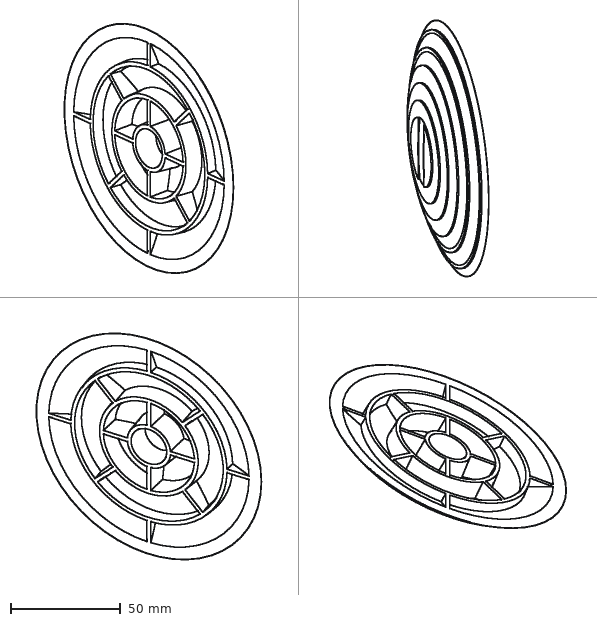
import cadquery as cq
import math


channel_width = 8.3
channel_depth = 0.2

rim_radius = 59.0
overall_height = 14.8
shell_thickness = 3.0
crest_radius = channel_width / 2
sphere_center_y = (overall_height**2 + crest_radius**2 - rim_radius**2) / (2 * overall_height)
outer_sphere_radius = math.hypot(rim_radius, sphere_center_y)
inner_sphere_radius = outer_sphere_radius - shell_thickness
apex_height = outer_sphere_radius + sphere_center_y
cavity_rim_radius = math.sqrt(inner_sphere_radius**2 - sphere_center_y**2)

ridge_count = 6
ridge_outermost_radius = 55.0
ridge_pitch = 7.8
ridge_height = 0.77
innermost_ridge_radius = ridge_outermost_radius - (ridge_count - 1) * ridge_pitch

wall_thickness = 2.0
wall_draft = 4.2
hub_radius = 11.3
middle_ring_radius = 25.8
outer_ring_radius = 41.0
ribs_per_band = 4
rib_spacing = 360 / ribs_per_band


def sphere_y(sphere_radius, radius):
    """Height of a shell sphere above the rim plane at a distance from the axis."""
    return math.sqrt(sphere_radius**2 - radius**2) + sphere_center_y


def sphere_distance(sphere_radius, y):
    """Distance from the axis at which a shell sphere reaches a height."""
    return math.sqrt(sphere_radius**2 - (y - sphere_center_y) ** 2)


def add_sphere_arc(profile, sphere_radius, start_radius, end_radius):
    """Continue a half profile along a shell sphere."""
    mid_radius = (start_radius + end_radius) / 2
    middle = (mid_radius, sphere_y(sphere_radius, mid_radius))
    end = (end_radius, sphere_y(sphere_radius, end_radius))
    return profile.threePointArc(middle, end)


def revolve_about_y(profile):
    """Turn a closed half profile into a solid around the part axis."""
    return profile.revolve(360, (0, 0, 0), (0, 1, 0))


def make_shell():
    """Spherical shell with flat-topped ridges stepping up its back."""
    profile = cq.Workplane("XY").moveTo(cavity_rim_radius, 0).lineTo(rim_radius, 0)
    arc_start = rim_radius
    for index in range(ridge_count):
        ridge_radius = ridge_outermost_radius - index * ridge_pitch
        ridge_top = sphere_y(outer_sphere_radius, ridge_radius) + ridge_height
        ridge_inner_radius = sphere_distance(outer_sphere_radius, ridge_top)
        profile = add_sphere_arc(profile, outer_sphere_radius, arc_start, ridge_radius)
        profile = profile.lineTo(ridge_radius, ridge_top).lineTo(ridge_inner_radius, ridge_top)
        arc_start = ridge_inner_radius
    profile = add_sphere_arc(profile, outer_sphere_radius, arc_start, 0)
    profile = profile.lineTo(0, apex_height - shell_thickness)
    profile = add_sphere_arc(profile, inner_sphere_radius, 0, cavity_rim_radius)
    return revolve_about_y(profile.close())


def wall_section(wall_center):
    """Trapezoid across a wall, widening from the rim plane to the apex height."""
    tip = wall_thickness / 2
    root = tip + apex_height * math.tan(math.radians(wall_draft))
    return (
        cq.Workplane("XY")
        .moveTo(wall_center - tip, 0)
        .lineTo(wall_center + tip, 0)
        .lineTo(wall_center + root, apex_height)
        .lineTo(wall_center - root, apex_height)
        .close()
    )


def make_ring(outer_radius):
    """Round wall with the given outer radius at the rim plane."""
    return revolve_about_y(wall_section(outer_radius - wall_thickness / 2))


def make_ribs(inner_radius, outer_radius, first_angle):
    """Radial ribs between the middles of two rings."""
    start = inner_radius - wall_thickness / 2
    end = outer_radius - wall_thickness / 2
    rib = wall_section(0).extrude(end - start).translate((0, 0, start))
    ribs = cq.Workplane("XY")
    for index in range(ribs_per_band):
        angle = first_angle + index * rib_spacing
        ribs = ribs.add(rib.rotate((0, 0, 0), (0, 1, 0), angle))
    return ribs.combine()


def make_channel():
    """Cutter whose floor bulges from the foot of the innermost ridge to below the apex."""
    floor_end_y = sphere_y(outer_sphere_radius, innermost_ridge_radius)
    floor_crown_y = overall_height - channel_depth
    channel_top = overall_height + channel_depth
    profile = (
        cq.Workplane("YZ")
        .moveTo(floor_end_y, -innermost_ridge_radius)
        .threePointArc((floor_crown_y, 0), (floor_end_y, innermost_ridge_radius))
        .lineTo(channel_top, innermost_ridge_radius)
        .lineTo(channel_top, -innermost_ridge_radius)
        .close()
    )
    return profile.extrude(channel_width / 2, both=True)


def make_wall_limit():
    """Solid cap that ends the walls inside the thickness of the shell."""
    limit_sphere_radius = outer_sphere_radius - shell_thickness / 2
    limit_rim_radius = sphere_distance(limit_sphere_radius, 0)
    profile = cq.Workplane("XY").lineTo(limit_rim_radius, 0)
    profile = add_sphere_arc(profile, limit_sphere_radius, limit_rim_radius, 0)
    return revolve_about_y(profile.close())


walls = make_ring(hub_radius)
walls = walls.union(make_ring(middle_ring_radius))
walls = walls.union(make_ring(outer_ring_radius))
walls = walls.union(make_ribs(hub_radius, middle_ring_radius, 0))
walls = walls.union(make_ribs(middle_ring_radius, outer_ring_radius, rib_spacing / 2))
walls = walls.union(make_ribs(outer_ring_radius, rim_radius, 0))

result = make_shell().cut(make_channel()).union(walls.intersect(make_wall_limit()))